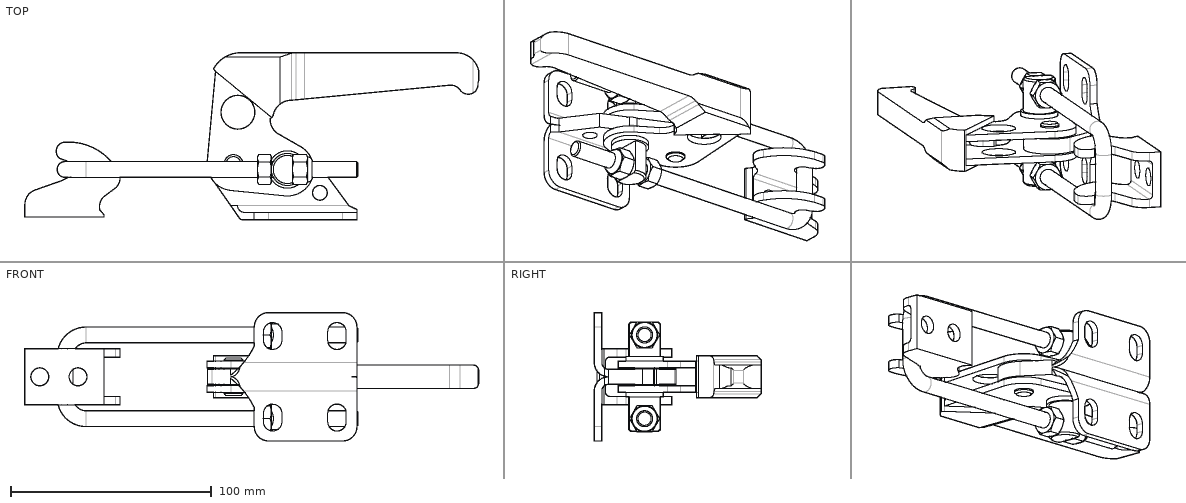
import cadquery as cq
import math


overall_length = 225.98
overall_height = 83.24
rod_diameter = 8.0
rod_radius = rod_diameter / 2
rod_axis_y = 25.12
crossbar_x = 20.1
pivot = (103.9, 27.8)
trunnion_axis = (130.7, rod_axis_y)

base_width = 64.0
sheet = 3.8
tongue_half = sheet
bend_inner = 3.3
bend_outer = bend_inner + sheet
base_left = 114.2
base_right = 165.4
base_corner = 7.2
tongue_round = 13.0
tongue_start = (102.5, bend_outer)
tongue_end = (161.4, bend_outer)
tongue_tip = (149.0, 24.0)
side_step_y = 5.2
neck_tip_x = 101.4
neck_mid = (109.2, 7.4)
neck_end = (base_left, 15.4)
slot_xs = (123.4, 155.4)
slot_z = 20.3
slot_length = 13.3
slot_width = 9.2
stop_hole = (146.9, 13.5)
stop_hole_diameter = 7.2
pin_seat_radius = 6.0

catch_width = 28.0
catch_wall = 4.3
catch_bottom = 1.4
catch_length = 39.5
catch_fillet = 2.0
catch_top = 38.7
catch_lip_top = (catch_length, 2.6)
undercut_start = (37.4, 5.0)
undercut_mid = (37.5, 8.3)
undercut_end = (39.2, 11.4)
heel_start = (45.2, 15.9)
heel_mid = (47.5, 20.5)
heel_end = (46.0, 25.0)
hook_back_mid = (36.3, 34.8)
hook_back_end_x = 24.4
hook_front_x = 19.2
hook_front_mid = (15.8, 35.5)
hook_front_end = (17.3, 30.6)
throat_end = (18.4, 19.6)
toe_start = (5.0, 14.9)
toe_mid = (1.5, 12.2)
toe_end_y = 7.4
notch_shift = 1.3
catch_hole_xs = (7.5, 26.5)
catch_hole_diameter = 8.8

leg_z = 20.85
bend_radius = 10.5
rod_end_x = 165.8
rod_end_chamfer = 0.7
nut_across_flats = 13.0
nut_height = 6.8
lock_nut_height = 7.4
collar_radius = 6.2
collar_height = 2.4
collar_fillet = 2.2
nut_chamfer_angle = 30

trunnion_radius = 8.0
trunnion_half_length = 27.2
trunnion_chamfer = 1.0
trunnion_flat = 2.6
flange_radius = 9.3
flange_top = 10.0
trunnion_core_radius = 5.0

lever_half = 7.75
lever_gap_half = 4.4
lever_round = 13.2
lever_top = (94.9, 74.0)
lever_recess_start = (126.0, 43.0)
lever_recess_mid = (123.0, 46.4)
lever_recess_end = (122.2, 50.4)
grip_half = 10.5
grip_wall = 2.8
finger_start = (123.7, 52.0)
finger_mid = (126.6, 57.2)
finger_end = (132.7, 59.5)
tip_hook_start = (211.5, 67.0)
tip_hook_turn = (216.7, 64.6)
tip_hook_nose = (225.6, 68.0)
tip_mid = (223.3, 79.5)
tip_top_x = 215.5
shoulder_top_x = 106.4
shoulder_mid = (98.8, 80.6)
bar_half = 5.9
grip_corner = (93.9, 75.2)
grip_diagonal_end = (123.0, 50.9)
grip_chamfer = 2.2
taper_start_x = 127.0
taper_break = (132.7, 8.6)
taper_bend = (135.0, 7.4)
taper_mid = (137.0, 6.3)
taper_end_x = 139.2
tip_corner = 2.8
cavity_floor = 62.0
cavity_end_x = 138.0
web_inner_bottom_x = 121.2
web_inner_low = (120.3, 51.9)
web_inner_bend = (121.0, 57.2)
web_inner_mid = (123.4, 60.5)
window = (106.1, 53.6)
window_diameter = 16.7
rivet_radius = 4.7
rivet_top = 9.4
rivet_chamfer = 1.0


def tangent(center_a, radius_a, center_b, radius_b):
    """Touch points of the line that passes two circles counter-clockwise from a to b."""
    dx = center_b[0] - center_a[0]
    dy = center_b[1] - center_a[1]
    normal = math.atan2(dy, dx) - math.acos((radius_a - radius_b) / math.hypot(dx, dy))
    return tuple(
        (c[0] + r * math.cos(normal), c[1] + r * math.sin(normal))
        for c, r in ((center_a, radius_a), (center_b, radius_b))
    )


def on_circle(center, radius, degrees):
    angle = math.radians(degrees)
    return (center[0] + radius * math.cos(angle), center[1] + radius * math.sin(angle))


def slab(outline, half):
    """Extrude an XY outline equally to both sides of Z = 0."""
    return outline.extrude(half, both=True)


def z_cylinder(center, radius, half):
    return slab(cq.Workplane("XY").center(*center).circle(radius), half)


def base_tongue():
    left_touch, _ = tangent(pivot, tongue_round, tongue_start, 0)
    _, top_touch = tangent(tongue_tip, 0, pivot, tongue_round)
    outline = (
        cq.Workplane("XY").moveTo(*tongue_start).lineTo(*tongue_end)
        .lineTo(*tongue_tip).lineTo(*top_touch)
        .threePointArc(on_circle(pivot, tongue_round, 150), left_touch)
        .close()
    )
    return slab(outline, tongue_half)


def base_sheet():
    """Both flanges with their bends, trimmed to the side profile and to the flange outline."""
    half = base_width / 2
    (touch_x, touch_y), _ = tangent(pivot, tongue_round, tongue_start, 0)
    slant = (tongue_start[0] - touch_x) / (tongue_start[1] - touch_y)
    slant_foot = (tongue_start[0] - slant * tongue_start[1], 0)
    diagonal = math.sqrt(0.5)
    bend_z = bend_outer
    section = (
        cq.Workplane("YZ").moveTo(bend_outer, 0)
        .threePointArc((bend_outer * (1 - diagonal), bend_z - bend_outer * diagonal), (0, bend_z))
        .lineTo(0, half).lineTo(sheet, half).lineTo(sheet, bend_z)
        .threePointArc((bend_outer - bend_inner * diagonal, bend_z - bend_inner * diagonal),
                       (bend_outer, bend_z - bend_inner))
        .close().extrude(base_right)
    )
    section = section.union(section.mirror("XY"))
    side = slab(
        cq.Workplane("XY").moveTo(*slant_foot)
        .lineTo(*tongue_start).lineTo(*tongue_end).lineTo(base_right, side_step_y)
        .lineTo(base_right, 0).close(), half)
    plate = (
        cq.Workplane("XZ").center((base_left + base_right) / 2, 0)
        .rect(base_right - base_left, base_width).extrude(-bend_outer).edges("|Y").fillet(base_corner)
    )
    neck = (
        cq.Workplane("XZ").moveTo(neck_tip_x, 0).threePointArc(neck_mid, neck_end)
        .lineTo(base_right, neck_end[1]).lineTo(base_right, -neck_end[1])
        .lineTo(neck_end[0], -neck_end[1])
        .threePointArc((neck_mid[0], -neck_mid[1]), (neck_tip_x, 0))
        .close().extrude(-bend_outer)
    )
    return section.intersect(side).intersect(plate.union(neck))


def make_base():
    base = base_sheet().union(base_tongue())
    slots = (
        cq.Workplane("XZ").pushPoints([(x, z) for x in slot_xs for z in (slot_z, -slot_z)])
        .slot2D(slot_length, slot_width, 90).extrude(-sheet)
    )
    base = base.cut(slots)
    base = base.cut(z_cylinder(stop_hole, stop_hole_diameter / 2, tongue_half))
    base = base.cut(z_cylinder(pivot, rivet_radius, tongue_half))
    return base.cut(z_cylinder(trunnion_axis, pin_seat_radius, tongue_half))


def make_catch():
    outline = (
        cq.Workplane("XY").moveTo(0, catch_bottom).lineTo(catch_length, catch_bottom)
        .lineTo(*catch_lip_top).lineTo(*undercut_start)
        .threePointArc(undercut_mid, undercut_end)
        .lineTo(*heel_start)
        .threePointArc(heel_mid, heel_end)
        .threePointArc(hook_back_mid, (hook_back_end_x, catch_top))
        .lineTo(hook_front_x, catch_top)
        .threePointArc(hook_front_mid, hook_front_end)
        .lineTo(crossbar_x + notch_shift, rod_axis_y + rod_radius)
        .lineTo(crossbar_x + notch_shift, rod_axis_y - rod_radius)
        .lineTo(*throat_end).lineTo(*toe_start)
        .threePointArc(toe_mid, (0, toe_end_y))
        .close()
    )
    catch = slab(outline, catch_width / 2)
    channel = (
        cq.Workplane("XY").box(2 * catch_length + catch_width, catch_top, catch_width - 2 * catch_wall)
        .edges("|X and <Y").fillet(catch_fillet)
        .translate((0, catch_bottom + catch_wall + catch_top / 2, 0))
    )
    notch = z_cylinder((crossbar_x + notch_shift, rod_axis_y), rod_radius, catch_width / 2)
    holes = (
        cq.Workplane("XZ").pushPoints([(x, 0) for x in catch_hole_xs])
        .circle(catch_hole_diameter / 2).extrude(-(catch_bottom + catch_wall))
    )
    return catch.cut(channel).cut(notch).cut(holes)


def make_nut(start_x, height, side):
    """Hexagon nut with corners towards Y and both faces chamfered."""
    corner_radius = nut_across_flats / math.sqrt(3)
    hexagon = (
        cq.Workplane("YZ", origin=(start_x, rod_axis_y, side * leg_z))
        .polygon(6, 2 * corner_radius).extrude(height)
    )
    across = corner_radius - nut_across_flats / 2
    blank = (
        cq.Workplane("YZ", origin=(start_x, rod_axis_y, side * leg_z))
        .circle(corner_radius).extrude(height)
        .faces("<X or >X").chamfer(across * math.tan(math.radians(nut_chamfer_angle)), across)
    )
    return hexagon.intersect(blank)


def make_collar(start_x, side):
    """Rounded locking collar behind a rear nut."""
    return (
        cq.Workplane("YZ", origin=(start_x, rod_axis_y, side * leg_z))
        .circle(collar_radius).extrude(collar_height).faces(">X").edges().fillet(collar_fillet)
    )


def make_u_bolt():
    bend_x = crossbar_x + bend_radius
    bar_z = leg_z - bend_radius
    inset = bend_radius * (1 - math.sqrt(0.5))
    path = (
        cq.Workplane("XZ", origin=(0, rod_axis_y, 0)).moveTo(rod_end_x, leg_z).lineTo(bend_x, leg_z)
        .threePointArc((crossbar_x + inset, leg_z - inset), (crossbar_x, bar_z))
        .lineTo(crossbar_x, -bar_z)
        .threePointArc((crossbar_x + inset, inset - leg_z), (bend_x, -leg_z))
        .lineTo(rod_end_x, -leg_z)
    )
    bolt = (
        cq.Workplane("YZ", origin=(rod_end_x, rod_axis_y, leg_z)).circle(rod_radius).sweep(path)
        .faces(">X").chamfer(rod_end_chamfer)
    )
    front_nut_x = trunnion_axis[0] - trunnion_radius - nut_height
    rear_nut_x = trunnion_axis[0] + trunnion_flat
    for side in (1, -1):
        bolt = bolt.union(make_nut(front_nut_x, nut_height, side))
        bolt = bolt.union(make_nut(rear_nut_x, lock_nut_height, side))
        bolt = bolt.union(make_collar(rear_nut_x + lock_nut_height, side))
    return bolt


def make_trunnion():
    pin = z_cylinder(trunnion_axis, trunnion_radius, trunnion_half_length)
    pin = pin.faces("<Z or >Z").chamfer(trunnion_chamfer)
    flat_cut = (
        cq.Workplane("XY").box(trunnion_radius, 2 * trunnion_radius, 2 * trunnion_half_length)
        .translate((trunnion_axis[0] + trunnion_flat + trunnion_radius / 2, rod_axis_y, 0))
    )
    pin = pin.cut(flat_cut).union(z_cylinder(trunnion_axis, flange_radius, flange_top))
    sleeve = z_cylinder(trunnion_axis, flange_radius, lever_half)
    pin = pin.cut(sleeve).union(z_cylinder(trunnion_axis, trunnion_core_radius, lever_half))
    for side in (1, -1):
        leg_hole = (
            cq.Workplane("YZ", origin=(0, rod_axis_y, side * leg_z))
            .circle(rod_radius).extrude(overall_length)
        )
        pin = pin.cut(leg_hole)
    return pin


def lever_plates():
    left_start, left_touch = tangent(lever_top, 0, pivot, lever_round)
    low_start, low_end = tangent(pivot, lever_round, trunnion_axis, lever_round)
    right_touch, _ = tangent(trunnion_axis, lever_round, lever_recess_start, 0)
    outline = (
        cq.Workplane("XY").moveTo(*left_start).lineTo(*left_touch)
        .threePointArc(on_circle(pivot, lever_round, 225), low_start)
        .lineTo(*low_end)
        .threePointArc(on_circle(trunnion_axis, lever_round, 0), right_touch)
        .lineTo(*lever_recess_start)
        .threePointArc(lever_recess_mid, lever_recess_end)
        .lineTo(*grip_diagonal_end).close()
    )
    return slab(outline, lever_half)


def grip():
    side = slab(
        cq.Workplane("XY").moveTo(*lever_top).lineTo(*grip_diagonal_end).lineTo(*finger_start)
        .threePointArc(finger_mid, finger_end).lineTo(*tip_hook_start)
        .tangentArcPoint(tip_hook_turn, relative=False)
        .tangentArcPoint(tip_hook_nose, relative=False)
        .threePointArc(tip_mid, (tip_top_x, overall_height))
        .lineTo(shoulder_top_x, overall_height)
        .threePointArc(shoulder_mid, grip_corner)
        .close(), grip_half)
    bevelled = (
        cq.Workplane("XY").box(2 * overall_length, 2 * overall_height, 2 * grip_half)
        .edges("|X and >Y").chamfer(grip_chamfer)
    )
    plan = (
        cq.Workplane("XZ").moveTo(0, grip_half).lineTo(taper_start_x, grip_half)
        .lineTo(*taper_break).lineTo(*taper_bend).threePointArc(taper_mid, (taper_end_x, bar_half))
        .lineTo(overall_length - tip_corner, bar_half)
        .radiusArc((overall_length, bar_half - tip_corner), tip_corner)
        .lineTo(overall_length, 0).lineTo(0, 0).close().extrude(-overall_height)
    )
    return side.intersect(bevelled).intersect(plan.union(plan.mirror("XY")))


def cavity():
    """Gap between the lever plates; inside the grip its sides close to a wedge."""
    diagonal = math.sqrt(0.5)
    web_bottom = lever_recess_end[1]
    ceiling = overall_height - grip_wall
    profile = slab(
        cq.Workplane("XY").moveTo(0, 0).lineTo(overall_length, 0).lineTo(overall_length, web_bottom)
        .lineTo(web_inner_bottom_x, web_bottom).lineTo(*web_inner_low)
        .lineTo(*web_inner_bend).threePointArc(web_inner_mid, (taper_start_x, cavity_floor))
        .lineTo(overall_length, cavity_floor).lineTo(overall_length, ceiling)
        .lineTo(shoulder_top_x, ceiling)
        .threePointArc((shoulder_mid[0] + grip_wall * diagonal, shoulder_mid[1] - grip_wall * diagonal),
                       (grip_corner[0] + grip_wall, lever_top[1]))
        .lineTo(0, lever_top[1]).close(), lever_gap_half)
    wedge = (
        cq.Workplane("XZ").moveTo(0, lever_gap_half).lineTo(taper_start_x, lever_gap_half)
        .lineTo(cavity_end_x, 0).lineTo(taper_start_x, -lever_gap_half)
        .lineTo(0, -lever_gap_half).close().extrude(-overall_height)
    )
    open_gap = cq.Workplane("XY").box(2 * overall_length, 2 * web_bottom, 2 * lever_gap_half)
    return profile.intersect(wedge).union(open_gap)


def make_handle():
    handle = grip().union(lever_plates()).cut(cavity())
    handle = handle.cut(z_cylinder(window, window_diameter / 2, grip_half))
    handle = handle.cut(z_cylinder(trunnion_axis, trunnion_core_radius, lever_half))
    rivet = z_cylinder(pivot, rivet_radius, rivet_top).faces("<Z or >Z").chamfer(rivet_chamfer)
    return handle.union(rivet)


base = make_base()
catch = make_catch()
u_bolt = make_u_bolt()
trunnion = make_trunnion()
handle = make_handle()

result = cq.Compound.makeCompound([
    body.solids().val() for body in (base, catch, u_bolt, trunnion, handle)
])